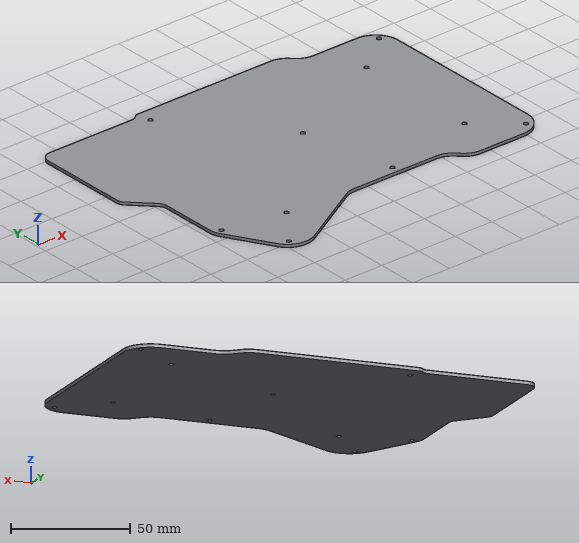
import cadquery as cq
import math

length = 180.5
width = 130.8
thickness = 1.52
hole_diameter = 2.2

lobe_radius = 12.0
bend_radius = 10.8
small_radius = 5.2
step_radius = 3.6

step_y = 128.5
shoulder_x = 54.0
ear_top_y = 123.0
ear_bottom_y = 14.3
lower_edge_y = 22.5
ear_slope_x = 132.0
waist_x = 13.0
notch_y = 76.5
waist_end_y = 30.7
lobe_angle = math.radians(60)

lobe_drop = lobe_radius * (math.sin(lobe_angle) + math.cos(lobe_angle) - 1)
lobe_tip_y = -lobe_drop
lobe_tip_x = waist_x + (waist_end_y - lobe_tip_y) / math.tan(lobe_angle)
lower_edge_start_x = lobe_tip_x + (lower_edge_y - lobe_tip_y) * math.tan(lobe_angle)

upper_slope_run = width - ear_top_y
lower_slope_run = lower_edge_y - ear_bottom_y
step_run = width - step_y

corners = [
    (0, step_y, small_radius),
    (shoulder_x - step_run, step_y, step_radius),
    (shoulder_x, width, step_radius),
    (ear_slope_x, width, bend_radius),
    (ear_slope_x + upper_slope_run, ear_top_y, bend_radius),
    (length, ear_top_y, lobe_radius),
    (length, ear_bottom_y, lobe_radius),
    (ear_slope_x + lower_slope_run, ear_bottom_y, bend_radius),
    (ear_slope_x, lower_edge_y, bend_radius),
    (lower_edge_start_x, lower_edge_y, bend_radius),
    (lobe_tip_x, lobe_tip_y, lobe_radius),
    (waist_x, waist_end_y, bend_radius),
    (waist_x, notch_y - waist_x, small_radius),
    (0, notch_y, small_radius),
]

hole_centers = [
    (56.0, 123.5),
    (175.2, 117.1),
    (154.8, 100.9),
    (97.6, 73.8),
    (154.8, 36.8),
    (16.8, 30.1),
    (107.0, 26.5),
    (47.6, 24.5),
    (174.5, 20.2),
    (32.3, 4.7),
]


def rounded_plate():
    """Extrude the sharp outline and round each vertical edge."""
    plate = cq.Workplane("XY").polyline([(x, y) for x, y, _ in corners]).close().extrude(thickness)
    for x, y, radius in corners:
        edge = cq.selectors.NearestToPointSelector((x, y, thickness / 2))
        plate = plate.edges("|Z").edges(edge).fillet(radius)
    return plate


def drilled(plate):
    """Cut the through holes."""
    drills = cq.Workplane("XY").pushPoints(hole_centers).circle(hole_diameter / 2).extrude(thickness)
    return plate.cut(drills)


result = drilled(rounded_plate())